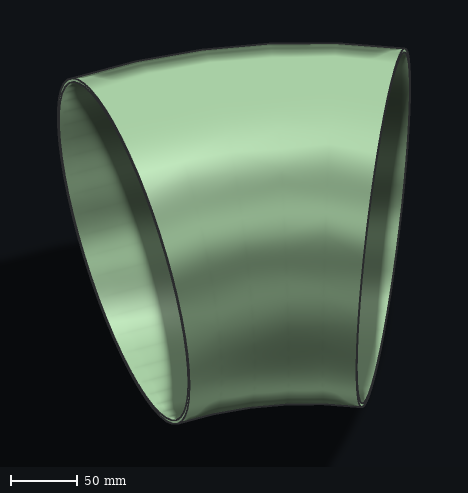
import cadquery as cq

outer_diameter = 273.0
wall_thickness = 3.0
bend_radius = 381.0
bend_angle = 30.0

outer_radius = outer_diameter / 2
inner_radius = outer_radius - wall_thickness


def make_elbow():
    """Revolve the tube's ring section about the vertical bend axis on its +X side."""
    ring_section = cq.Workplane("XZ").circle(outer_radius).circle(inner_radius)
    axis_start = (bend_radius, 0)
    axis_end = (bend_radius, -1)
    return ring_section.revolve(bend_angle, axis_start, axis_end)


result = make_elbow()